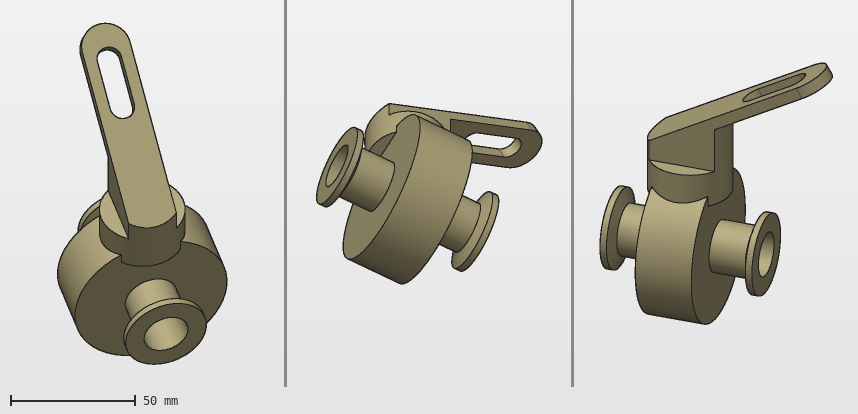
import cadquery as cq
import math

body_diameter = 63.9
body_width = 24.0

tube_length = 64.9
tube_diameter = 21.8
bore_diameter = 18.5
flange_diameter = 34.0
flange_rim_width = 2.8
flange_taper_width = 2.2

neck_diameter = 34.5
neck_bottom = 24.9
neck_ledge = 40.1

overall_length = 92.5
overall_height = 122.2
handle_angle = 30.0
handle_width = 20.0
handle_thickness = 5.0
slot_length = 30.1
slot_width = 10.0
slot_end_margin = 10.0

slope = math.radians(handle_angle)
tip_x = tube_length / 2 - overall_length + handle_thickness * math.sin(slope)
tip_z = overall_height - body_diameter / 2

handle_plane = cq.Plane(
    origin=(tip_x, 0, tip_z),
    xDir=(math.cos(slope), 0, -math.sin(slope)),
    normal=(math.sin(slope), 0, math.cos(slope)),
)


def x_cylinder(diameter, length):
    """Cylinder along X, centred on the origin."""
    return cq.Workplane("YZ").circle(diameter / 2).extrude(length / 2, both=True)


def make_flanged_tube():
    """Solid tube with a rim and a tapered back at each end."""
    end = tube_length / 2
    rim_back = end - flange_rim_width
    taper_start = rim_back - flange_taper_width
    tube_radius = tube_diameter / 2
    flange_radius = flange_diameter / 2
    profile = (
        cq.Workplane("XZ")
        .moveTo(-end, 0)
        .lineTo(-end, flange_radius)
        .lineTo(-rim_back, flange_radius)
        .lineTo(-taper_start, tube_radius)
        .lineTo(taper_start, tube_radius)
        .lineTo(rim_back, flange_radius)
        .lineTo(end, flange_radius)
        .lineTo(end, 0)
        .close()
    )
    return profile.revolve(360, (0, 0, 0), (1, 0, 0))


def make_neck():
    """Round neck, narrowed to the handle width above the ledge and cut off along the slope."""
    radius = neck_diameter / 2
    base = cq.Workplane("XY").workplane(offset=neck_bottom).circle(radius).extrude(neck_ledge - neck_bottom)

    def top_height(x):
        return tip_z - (x - tip_x) * math.tan(slope)

    side_profile = (
        cq.Workplane("XZ")
        .moveTo(-radius, neck_ledge)
        .lineTo(radius, neck_ledge)
        .lineTo(radius, top_height(radius))
        .lineTo(-radius, top_height(-radius))
        .close()
        .extrude(handle_width / 2, both=True)
    )
    column = cq.Workplane("XY").workplane(offset=neck_ledge).circle(radius).extrude(tip_z - neck_ledge)
    return base.union(column.intersect(side_profile))


def make_handle():
    """Flat bar from the rounded tip down to the neck axis, with a lengthwise slot."""
    reach = -tip_x / math.cos(slope)
    half_width = handle_width / 2
    bar = (
        cq.Workplane(handle_plane)
        .moveTo(half_width, half_width)
        .threePointArc((0, 0), (half_width, -half_width))
        .lineTo(reach, -half_width)
        .lineTo(reach, half_width)
        .close()
        .extrude(-handle_thickness)
    )
    slot = (
        cq.Workplane(handle_plane)
        .center(slot_end_margin + slot_length / 2, 0)
        .slot2D(slot_length, slot_width)
        .extrude(-handle_thickness)
    )
    return bar.cut(slot)


body = x_cylinder(body_diameter, body_width)
bore = x_cylinder(bore_diameter, tube_length)
result = body.union(make_flanged_tube()).union(make_neck()).union(make_handle()).cut(bore)